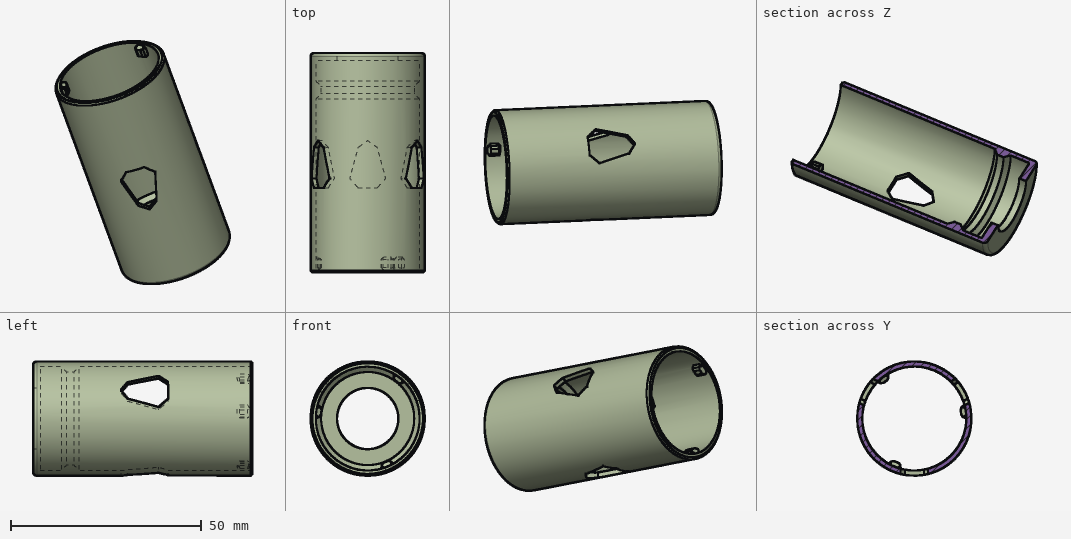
import cadquery as cq
import math

length = 57.5
outer_radius = 15.0
bore_radius = 13.6
end_wall = 2.0
end_hole_radius = 8.0
mouth_chamfer = 0.5
end_fillet = 1.0

ring_start = 45.4
ring_land = 1.9
ring_height = 1.4

pattern_count = 3
first_window_angle = 30.0
window_start = 22.1
window_widest = 24.6
window_shoulder = 32.7
window_tip = 34.5
window_half_width = 4.7
window_half_end = 2.5

first_lug_angle = 52.3
lug_start = 0.6
lug_end = 4.0
lug_tip_radius = 12.3
lug_bevel_radius = 12.7
lug_half_base = 1.75
lug_half_bevel = 1.35
lug_half_tip = 0.65
lug_end_slope = 0.65
lug_corner_cut = 0.8
lug_root_radius = (bore_radius + outer_radius) / 2


def make_sleeve():
    """Revolve the wall section (radius, Y) about the Y axis."""
    ring_radius = bore_radius - ring_height
    land_start = ring_start + ring_height
    land_end = land_start + ring_land
    fillet_mid = end_fillet * math.sqrt(0.5)
    section = (
        cq.Workplane("XY")
        .moveTo(bore_radius, 0)
        .lineTo(outer_radius - mouth_chamfer, 0)
        .lineTo(outer_radius, mouth_chamfer)
        .lineTo(outer_radius, length - end_fillet)
        .threePointArc(
            (outer_radius - end_fillet + fillet_mid, length - end_fillet + fillet_mid),
            (outer_radius - end_fillet, length),
        )
        .lineTo(end_hole_radius, length)
        .lineTo(end_hole_radius, length - end_wall)
        .lineTo(bore_radius, length - end_wall)
        .lineTo(bore_radius, land_end + ring_height)
        .lineTo(ring_radius, land_end)
        .lineTo(ring_radius, land_start)
        .lineTo(bore_radius, ring_start)
        .close()
    )
    return section.revolve(360, (0, 0, 0), (0, 1, 0))


def turn_about_axis(body, angle):
    """Turn a body built along +X towards +Z by an angle in degrees."""
    return body.rotate((0, 0, 0), (0, 1, 0), -angle)


def make_window():
    """Seven-sided cutter running out from the axis along +X."""
    outline = [
        (window_start, -window_half_end),
        (window_widest, -window_half_width),
        (window_shoulder, -window_half_end),
        (window_tip, 0),
        (window_shoulder, window_half_end),
        (window_widest, window_half_width),
        (window_start, window_half_end),
    ]
    return cq.Workplane("YZ").polyline(outline).close().extrude(2 * outer_radius)


def make_lug():
    """Lug pointing at the axis from the +X wall, bevelled on all its sides."""
    cross_section = [
        (lug_root_radius, -lug_half_base),
        (bore_radius, -lug_half_base),
        (lug_bevel_radius, -lug_half_bevel),
        (lug_tip_radius, -lug_half_tip),
        (lug_tip_radius, lug_half_tip),
        (lug_bevel_radius, lug_half_bevel),
        (bore_radius, lug_half_base),
        (lug_root_radius, lug_half_base),
    ]
    side_section = [
        (lug_root_radius, lug_start),
        (bore_radius, lug_start),
        (lug_tip_radius, lug_start + lug_end_slope),
        (lug_tip_radius, lug_end - lug_end_slope),
        (bore_radius, lug_end),
        (lug_root_radius, lug_end),
    ]
    body = cq.Workplane("XZ").polyline(cross_section).close().extrude(-lug_end)
    sides = cq.Workplane("XY").polyline(side_section).close().extrude(lug_half_base, both=True)
    plan = (
        cq.Workplane("YZ")
        .center((lug_start + lug_end) / 2, 0)
        .rect(lug_end - lug_start, 2 * lug_half_base)
        .extrude(outer_radius)
        .edges("|X")
        .chamfer(lug_corner_cut)
    )
    return body.intersect(sides).intersect(plan)


result = make_sleeve()
window = make_window()
lug = make_lug()
for index in range(pattern_count):
    turn = index * 360 / pattern_count
    result = result.cut(turn_about_axis(window, first_window_angle + turn))
    result = result.union(turn_about_axis(lug, first_lug_angle + turn))